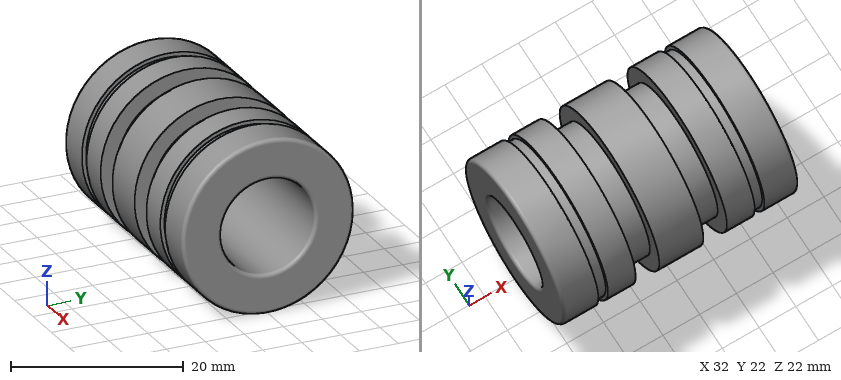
import cadquery as cq

length = 32.0
outer_diameter = 22.0
bore_diameter = 12.0
edge_radius = 0.48

deep_groove_diameter = 17.9
deep_groove_width = 3.2
center_land_width = 6.0

ring_groove_diameter = 21.0
ring_groove_width = 1.3
end_land_width = 4.7

deep_groove_offset = (center_land_width + deep_groove_width) / 2
ring_groove_offset = length / 2 - end_land_width - ring_groove_width / 2


def tube(outer, inner, width, center_x):
    """Tube around the X axis, centred lengthwise at center_x."""
    return (
        cq.Workplane("YZ", origin=(center_x - width / 2, 0, 0))
        .circle(outer / 2)
        .circle(inner / 2)
        .extrude(width)
    )


result = tube(outer_diameter, bore_diameter, length, 0).faces("<X or >X").edges().fillet(edge_radius)

for side in (-1, 1):
    deep_groove = tube(outer_diameter, deep_groove_diameter, deep_groove_width, side * deep_groove_offset)
    ring_groove = tube(outer_diameter, ring_groove_diameter, ring_groove_width, side * ring_groove_offset)
    result = result.cut(deep_groove).cut(ring_groove)